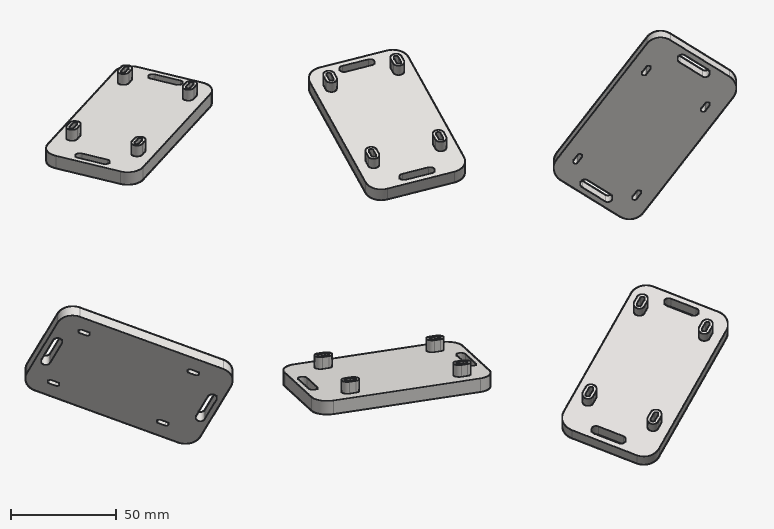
import cadquery as cq

plate_width = 50.0
plate_length = 91.0
plate_thickness = 7.0
corner_radius = 8.0

strap_slot_length = 17.65
strap_slot_width = 4.5
strap_slot_offset = 40.5

post_height = 6.0
post_length = 8.6
post_width = 5.5
post_offset_x = 17.0
post_back_y = 31.5
post_front_y = -25.7

post_hole_length = 5.8
post_hole_width = 2.3

total_height = plate_thickness + post_height
post_centers = [
    (x, y)
    for x in (-post_offset_x, post_offset_x)
    for y in (post_front_y, post_back_y)
]
strap_slot_centers = [(0, -strap_slot_offset), (0, strap_slot_offset)]


def slot_prisms(centers, length, width, height, angle=0):
    """Round-ended prisms rising from the bottom plane; angle turns the long side from X."""
    return (
        cq.Workplane("XY")
        .pushPoints(centers)
        .slot2D(length, width, angle)
        .extrude(height)
    )


plate = (
    cq.Workplane("XY")
    .rect(plate_width, plate_length)
    .extrude(plate_thickness)
    .edges("|Z")
    .fillet(corner_radius)
)

posts = slot_prisms(post_centers, post_length, post_width, total_height, 90)
post_holes = slot_prisms(post_centers, post_hole_length, post_hole_width, total_height, 90)
strap_slots = slot_prisms(
    strap_slot_centers, strap_slot_length, strap_slot_width, plate_thickness
)

result = plate.union(posts).cut(post_holes).cut(strap_slots)